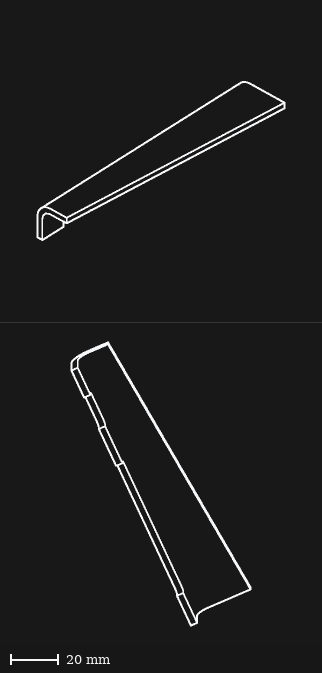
import cadquery as cq

length = 121.9
wide_end = 27.4
narrow_end = 16.8
height = 18.5

thickness = 2.9
outer_radius = 7.7
inner_radius = outer_radius - thickness

notches = [(12.9, 27.9), (45.6, 107.7)]
notch_depth = 4.8
notch_radius = 2.2


def bent_sheet():
    """L-shaped profile with a rounded bend, running along Y."""
    return (
        cq.Workplane("XZ")
        .lineTo(thickness, 0)
        .lineTo(thickness, height - outer_radius)
        .radiusArc((outer_radius, height - thickness), inner_radius)
        .lineTo(wide_end, height - thickness)
        .lineTo(wide_end, height)
        .lineTo(outer_radius, height)
        .radiusArc((0, height - outer_radius), -outer_radius)
        .close()
        .extrude(-length)
    )


def taper_waste():
    """Wedge removed so the flange narrows towards Y = 0."""
    return (
        cq.Workplane("XY")
        .moveTo(narrow_end, 0)
        .lineTo(wide_end, 0)
        .lineTo(wide_end, length)
        .close()
        .extrude(height)
    )


def notch(start, end):
    """Cutter through the leg with its two upper corners rounded."""
    return (
        cq.Workplane("XY")
        .box(thickness, end - start, notch_depth, centered=False)
        .edges("|X and >Z")
        .fillet(notch_radius)
        .translate((0, start, 0))
    )


result = bent_sheet().cut(taper_waste())
for start, end in notches:
    result = result.cut(notch(start, end))